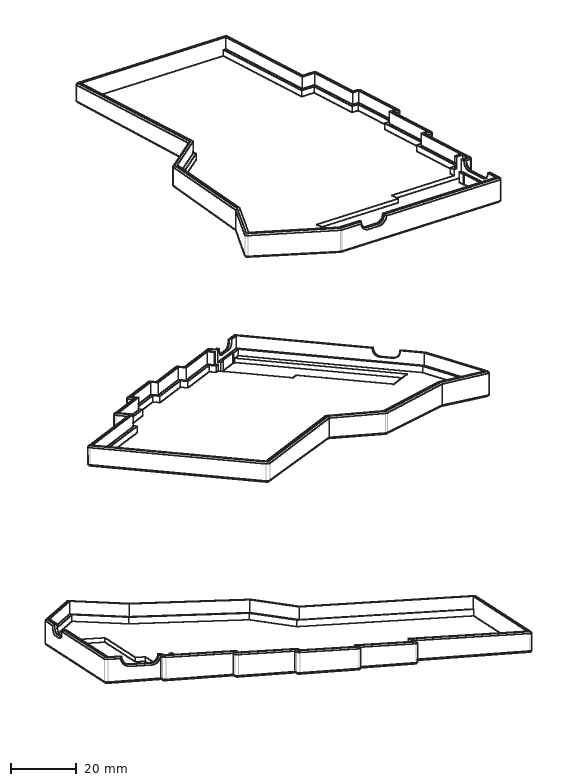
import cadquery as cq
import math

length = 136.6
max_height = 8.0
bottom_tilt = 0.7
corner_radius = 0.89
rim_chamfer = 0.5

front_y = 29.4
back_y = 88.1
step_low_y = 90.4
step_mid_y = 92.9
step_high_y = 95.2
slot_step_x = 118.8
outline = [
    (0.0, front_y),
    (56.3, front_y),
    (67.3, 14.6),
    (104.8, 9.7),
    (121.8, 0.0),
    (length, 25.7),
    (length, back_y),
    (slot_step_x, back_y),
    (slot_step_x, step_low_y),
    (96.5, step_low_y),
    (96.5, step_mid_y),
    (77.5, step_mid_y),
    (77.5, step_high_y),
    (56.8, step_high_y),
    (56.8, step_mid_y),
    (38.0, step_mid_y),
    (38.0, back_y),
    (0.0, back_y),
]
FRONT_SIDE = 0
SLOT_STEP_SIDE = 7
LEFT_SIDE = len(outline) - 1

wall = 1.3
ledge_inset = 2.25
front_ledge_inset = 1.8
rib_x = 114.9
ledge_depth = 4.0
floor_depth = 6.0

pocket_depth = 1.4
pocket_left = 115.7
pocket_waist_x = 118.8
pocket_right = 131.3
pocket_front = 30.2
pocket_waist_y = 61.7
slot_right = 118.2
slot_back = step_low_y - wall

notch_depth = 2.6
notch_radius = 2.5
usb_x = 125.3
usb_width = 11.7
usb_relief_width = 9.8
usb_relief = 0.3
jack_y = 38.4
jack_width = 8.9
notch_reach = 1.6


def inset_outline(points, distances):
    """Move each side of a counter-clockwise polygon inward by its own distance."""
    lines = []
    for i, (x0, y0) in enumerate(points):
        x1, y1 = points[(i + 1) % len(points)]
        side = math.hypot(x1 - x0, y1 - y0)
        nx, ny = (y0 - y1) / side, (x1 - x0) / side
        lines.append((nx, ny, nx * x0 + ny * y0 + distances[i]))
    corners = []
    for i, (a1, b1, c1) in enumerate(lines):
        a0, b0, c0 = lines[i - 1]
        det = a0 * b1 - a1 * b0
        corners.append(((c0 * b1 - c1 * b0) / det, (a0 * c1 - a1 * c0) / det))
    return corners


def is_convex(i):
    """True where the outline turns left, which is an outward corner."""
    (xa, ya), (xb, yb) = outline[i - 1], outline[i]
    xc, yc = outline[(i + 1) % len(outline)]
    return (xb - xa) * (yc - yb) - (yb - ya) * (xc - xb) > 0


def make_shell():
    """Outer body with a sloping underside, rounded outward corners and chamfered top and bottom edges."""
    drop = length * math.tan(math.radians(bottom_tilt))
    body = cq.Workplane("XY").polyline(outline).close().extrude(-max_height)
    under = (
        cq.Workplane("XZ", origin=(0, step_high_y, 0))
        .polyline([(0, drop - max_height), (length, -max_height), (0, -max_height)])
        .close()
        .extrude(step_high_y)
    )
    body = body.cut(under)
    for i, (x, y) in enumerate(outline):
        if is_convex(i):
            near = cq.selectors.NearestToPointSelector((x, y, -max_height / 2))
            body = body.edges("|Z").edges(near).fillet(corner_radius)
    return body.faces(">Z or <Z").edges().chamfer(rim_chamfer)


def make_cavity():
    """Hollow inside the wall, narrower below the ledge."""
    wall_insets = [wall] * len(outline)
    wall_insets[SLOT_STEP_SIDE] = slot_step_x - rib_x
    ledge_insets = [ledge_inset] * len(outline)
    ledge_insets[FRONT_SIDE] = front_ledge_inset
    ledge_insets[LEFT_SIDE] = wall
    ledge_insets[SLOT_STEP_SIDE] = slot_step_x - rib_x + ledge_inset - wall
    upper = cq.Workplane("XY").polyline(inset_outline(outline, wall_insets)).close().extrude(-ledge_depth)
    lower = cq.Workplane("XY").polyline(inset_outline(outline, ledge_insets)).close().extrude(-floor_depth)
    return upper.union(lower)


def make_pocket():
    """Controller pocket with its slot and the connector relief."""
    height = floor_depth + pocket_depth
    ledge_y = back_y - ledge_inset

    def block(left, right, front, back, block_height):
        size = (right - left, back - front, block_height)
        return cq.Workplane("XY").box(*size, centered=False).translate((left, front, -height))

    front_part = block(pocket_waist_x, pocket_right, pocket_front, pocket_waist_y, height)
    back_part = block(pocket_left, pocket_right, pocket_waist_y, ledge_y, height)
    slot = block(pocket_left, slot_right, pocket_waist_y, slot_back, height)
    relief_left = usb_x - usb_relief_width / 2
    relief = block(
        relief_left, relief_left + usb_relief_width, pocket_waist_y, ledge_y + usb_relief, height - ledge_depth
    )
    return front_part.union(back_part).union(slot).union(relief)


def make_notch(width):
    """Notch cutter with its outer face in the XZ plane, cutting toward +Y and chamfered like the rim."""
    profile = cq.Workplane("XZ").rect(width, 2 * notch_depth).extrude(-notch_reach)
    opening = profile.edges("|Y and <Z").fillet(notch_radius)
    mouth = opening.faces("<Y").wires().toPending().offset2D(rim_chamfer)
    flare = mouth.extrude(-rim_chamfer, combine=False, taper=45)
    return opening.union(flare)


usb_notch = make_notch(usb_width).rotate((0, 0, 0), (0, 0, 1), 180).translate((usb_x, back_y, 0))
jack_notch = make_notch(jack_width).rotate((0, 0, 0), (0, 0, 1), 90).translate((length, jack_y, 0))
result = make_shell().cut(make_cavity()).cut(make_pocket()).cut(usb_notch).cut(jack_notch)